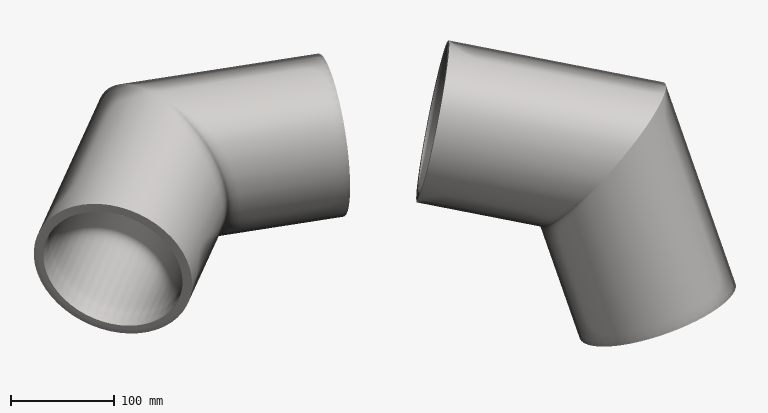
import cadquery as cq
import math

overall_length = 321.3
outer_diameter = 160.0
wall = 9.5
bend_angle = math.radians(60)

outer_radius = outer_diameter / 2
inner_radius = outer_radius - wall

rim_reach = outer_radius * math.sin(bend_angle)
leg_length = (overall_length - rim_reach) / (1 + math.cos(bend_angle))

mitre_normal = cq.Vector(math.sin(bend_angle / 2), math.cos(bend_angle / 2), 0)
mitre_plane = cq.Plane(origin=(0, 0, 0), xDir=(0, 0, 1), normal=mitre_normal)


def straight_leg():
    """Tube along +Y, ending at the origin on the mitre plane."""
    mitre_reach = outer_radius * math.tan(bend_angle / 2)
    uncut_length = leg_length + 2 * mitre_reach
    tube = (
        cq.Workplane("XZ", origin=(0, -leg_length, 0))
        .circle(outer_radius)
        .circle(inner_radius)
        .extrude(-uncut_length)
    )
    waste_size = 2 * overall_length
    waste = cq.Workplane(mitre_plane).rect(waste_size, waste_size).extrude(waste_size)
    return tube.cut(waste)


joint_axis = mitre_plane.yDir
entry_leg = straight_leg()
exit_leg = entry_leg.rotate((0, 0, 0), joint_axis.toTuple(), 180)
result = entry_leg.union(exit_leg)